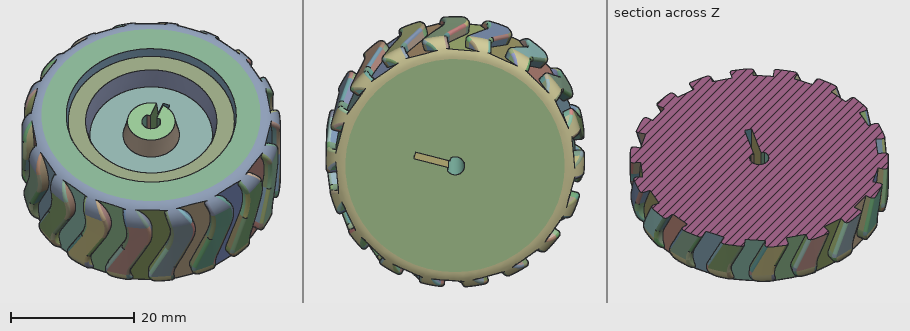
import cadquery as cq
import math

OUTER_RADIUS = 21.0
WIDTH = 19.0
SHOULDER_RADIUS = 3.2

STEP_RADIUS = 13.8
STEP_DEPTH = 1.6
WELL_RADIUS = 10.65
WELL_DEPTH = 5.12
BOSS_TOP_RADIUS = 3.85
DRAFT_ANGLE = 11.5

AXLE_RADIUS = 1.5
AXLE_FLAT = 1.0
SLOT_WIDTH = 1.15
SLOT_END = 6.8

GROOVE_COUNT = 18
GROOVE_WIDTH = 3.0
FLOOR_DISTANCE = 19.28
UPPER_BEND = (-5.4, 4.2)
UPPER_PATH_RADIUS = 7.5
LOWER_BEND = (2.0, -6.3)
LOWER_PATH_RADIUS = 3.5
LOWER_BEND_EXIT = 45.0
EDGE_ROUNDING = 0.5
OVERRUN = 0.4

TOP = WIDTH / 2
BOTTOM = -TOP


def tyre_blank():
    """Plain cylinder with rounded shoulders, centred on the origin."""
    blank = cq.Workplane("XY", origin=(0, 0, BOTTOM)).circle(OUTER_RADIUS).extrude(WIDTH)
    return blank.edges("%CIRCLE").fillet(SHOULDER_RADIUS)


def dish_cutter():
    """Turned hollow that leaves the step, the well and the central boss in the hub face."""
    step_level = TOP - STEP_DEPTH
    well_level = TOP - WELL_DEPTH
    draft = math.tan(math.radians(DRAFT_ANGLE))
    step_draft = STEP_DEPTH * draft
    well_draft = (WELL_DEPTH - STEP_DEPTH) * draft
    half_section = [
        (0, TOP),
        (STEP_RADIUS, TOP),
        (STEP_RADIUS - step_draft, step_level),
        (WELL_RADIUS, step_level),
        (WELL_RADIUS - well_draft, well_level),
        (BOSS_TOP_RADIUS + well_draft, well_level),
        (BOSS_TOP_RADIUS, step_level),
        (0, step_level),
    ]
    return cq.Workplane("XZ").polyline(half_section).close().revolve(360, (0, 0, 0), (0, 1, 0))


def axle_cutter():
    """D-shaped axle hole joined to the narrow slot, through the whole wheel."""
    hole = cq.Workplane("XY").circle(AXLE_RADIUS).extrude(WIDTH, both=True)
    flat_filler = (
        cq.Workplane("XY")
        .box(2 * AXLE_RADIUS, AXLE_RADIUS, 2 * WIDTH)
        .translate((0, AXLE_FLAT + AXLE_RADIUS / 2, 0))
    )
    slot = cq.Workplane("XY").box(SLOT_WIDTH, SLOT_END, 2 * WIDTH).translate((0, SLOT_END / 2, 0))
    return hole.cut(flat_filler).union(slot)


def on_arc(centre, radius, degrees):
    """Point at the given angle on a circle, as (x, z)."""
    angle = math.radians(degrees)
    return (centre[0] + radius * math.cos(angle), centre[1] + radius * math.sin(angle))


def groove_cutter():
    """Straight-walled S-shaped groove at -Y, cut down to a flat floor."""
    half = GROOVE_WIDTH / 2
    upper_left = UPPER_PATH_RADIUS - half
    upper_right = UPPER_PATH_RADIUS + half
    lower_left = LOWER_PATH_RADIUS + half
    lower_right = LOWER_PATH_RADIUS - half

    across = LOWER_BEND[0] - UPPER_BEND[0]
    down = UPPER_BEND[1] - LOWER_BEND[1]
    reach = UPPER_PATH_RADIUS + LOWER_PATH_RADIUS
    lean = math.degrees(math.asin(reach / math.hypot(across, down)) - math.atan2(across, down))

    rise = TOP + OVERRUN - UPPER_BEND[1]
    left_top = math.degrees(math.asin(rise / upper_left))
    right_top = math.degrees(math.asin(rise / upper_right))
    left_end = on_arc(LOWER_BEND, lower_left, 180 + LOWER_BEND_EXIT)
    right_end = on_arc(LOWER_BEND, lower_right, 180 + LOWER_BEND_EXIT)
    drop = right_end[1] - left_end[1]
    right_tip = (right_end[0] + drop * math.tan(math.radians(LOWER_BEND_EXIT)), left_end[1])

    outline = (
        cq.Workplane("XZ", origin=(0, -FLOOR_DISTANCE, 0))
        .moveTo(*on_arc(UPPER_BEND, upper_left, left_top))
        .threePointArc(
            on_arc(UPPER_BEND, upper_left, (left_top - lean) / 2),
            on_arc(UPPER_BEND, upper_left, -lean),
        )
        .lineTo(*on_arc(LOWER_BEND, lower_left, 180 - lean))
        .threePointArc(on_arc(LOWER_BEND, lower_left, 180), left_end)
        .lineTo(*right_tip)
        .lineTo(*right_end)
        .threePointArc(
            on_arc(LOWER_BEND, lower_right, 180),
            on_arc(LOWER_BEND, lower_right, 180 - lean),
        )
        .lineTo(*on_arc(UPPER_BEND, upper_right, -lean))
        .threePointArc(
            on_arc(UPPER_BEND, upper_right, (right_top - lean) / 2),
            on_arc(UPPER_BEND, upper_right, right_top),
        )
        .close()
    )
    return outline.extrude(OUTER_RADIUS - FLOOR_DISTANCE + OVERRUN)


def runs_along_groove(edge):
    """True for edges that follow a groove; false for the level ends of its floor."""
    return edge.BoundingBox().zlen > EDGE_ROUNDING


def treaded_wheel():
    """Tyre blank with all its grooves, and the outer edges of their walls rounded."""
    cutter = groove_cutter().val()
    pitch = 360 / GROOVE_COUNT
    cutters = [
        cutter.rotate(cq.Vector(0, 0, 0), cq.Vector(0, 0, 1), i * pitch) for i in range(GROOVE_COUNT)
    ]
    wheel = tyre_blank().cut(cq.Workplane(cq.Compound.makeCompound(cutters)))
    wall_edges = wheel.edges("(not %CIRCLE) and (not %LINE)").filter(runs_along_groove)
    return wall_edges.fillet(EDGE_ROUNDING)


result = treaded_wheel().cut(dish_cutter()).cut(axle_cutter())